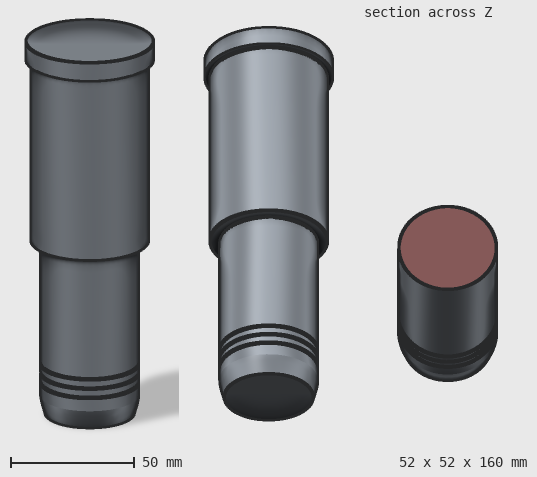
import cadquery as cq

total_height = 160.0
head_radius = 52.0 / 2
head_height = 8.0
body_radius = 24.0
body_bottom = 74.0
shank_radius = 20.0
edge_chamfer = 0.5

relief_height = 1.0
relief_depth = 0.5

tip_height = 8.0
tip_radius = 18.0
tip_bulge = 0.24
tip_chamfer = 0.3

groove_count = 3
groove_pitch = 4.0
groove_width = 1.0
groove_depth = 0.3
lowest_groove_bottom = 13.3

cutter_margin = 1.6


def cylinder(radius, bottom, top):
    return cq.Workplane("XY").workplane(offset=bottom).circle(radius).extrude(top - bottom)


def ring(outer_radius, depth, bottom, height):
    """Cutter for a shallow groove around a cylinder of the given radius."""
    outer = cylinder(outer_radius + cutter_margin, bottom, bottom + height)
    return outer.cut(cylinder(outer_radius - depth, bottom, bottom + height))


def make_tip():
    """Revolved nose with a slightly bulging flank."""
    middle_radius = (shank_radius + tip_radius) / 2 + tip_bulge
    profile = (
        cq.Workplane("XZ")
        .lineTo(tip_radius, 0)
        .threePointArc((middle_radius, tip_height / 2), (shank_radius, tip_height))
        .lineTo(0, tip_height)
        .close()
    )
    tip = profile.revolve(360, (0, 0, 0), (0, 1, 0))
    return tip.faces("<Z").edges().chamfer(tip_chamfer)


head_bottom = total_height - head_height
head = cylinder(head_radius, head_bottom, total_height).faces(">Z").edges().chamfer(edge_chamfer)
body = cylinder(body_radius, body_bottom, head_bottom).faces("<Z").edges().chamfer(edge_chamfer)
shank = cylinder(shank_radius, tip_height, body_bottom)

body = body.cut(ring(body_radius, relief_depth, head_bottom - relief_height, relief_height))
shank = shank.cut(ring(shank_radius, relief_depth, body_bottom - relief_height, relief_height))
for index in range(groove_count):
    groove_bottom = lowest_groove_bottom + index * groove_pitch
    shank = shank.cut(ring(shank_radius, groove_depth, groove_bottom, groove_width))

result = make_tip().union(shank).union(body).union(head)